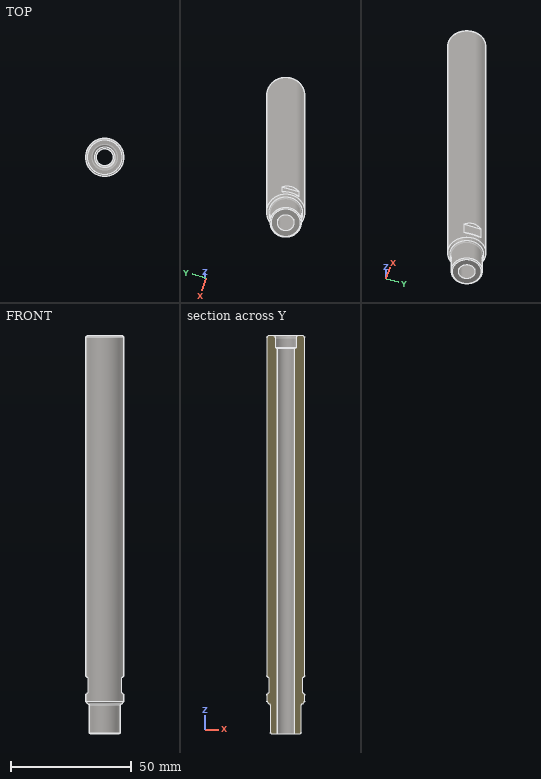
import cadquery as cq

total_length = 165.0
body_diameter = 15.88
top_chamfer_width = 0.8
top_chamfer_height = 0.65
shoulder_chamfer_width = 0.9
shoulder_chamfer_height = 1.15

spigot_diameter = 13.0
tip_chamfer = 0.5
shoulder_height = 12.4
corner_fillet = 0.5

through_diameter = 6.92
socket_diameter = 8.5
socket_depth = 5.0
socket_cone_height = 0.5
mouth_fillet = 1.05

across_flats = 14.0
flat_height = 6.0
flat_center_z = 20.2

body_radius = body_diameter / 2
spigot_radius = spigot_diameter / 2


def revolve_about_z(outline):
    """Full revolution of a closed outline drawn in radius and height."""
    return outline.close().revolve(360, (0, 0), (0, 1))


def make_rod():
    """Chamfered body and spigot with a fillet in the shoulder corner."""
    outline = (
        cq.Workplane("XZ")
        .lineTo(spigot_radius - tip_chamfer, 0)
        .lineTo(spigot_radius, tip_chamfer)
        .lineTo(spigot_radius, shoulder_height - corner_fillet)
        .radiusArc((spigot_radius + corner_fillet, shoulder_height), corner_fillet)
        .lineTo(body_radius - shoulder_chamfer_width, shoulder_height)
        .lineTo(body_radius, shoulder_height + shoulder_chamfer_height)
        .lineTo(body_radius, total_length - top_chamfer_height)
        .lineTo(body_radius - top_chamfer_width, total_length)
        .lineTo(0, total_length)
    )
    return revolve_about_z(outline)


def make_bores():
    """Through bore with a wider socket that has a conical floor and a rounded mouth at the top end."""
    socket_bottom = total_length - socket_depth
    outline = (
        cq.Workplane("XZ")
        .lineTo(through_diameter / 2, 0)
        .lineTo(through_diameter / 2, socket_bottom - socket_cone_height)
        .lineTo(socket_diameter / 2, socket_bottom)
        .lineTo(socket_diameter / 2, total_length - mouth_fillet)
        .radiusArc((socket_diameter / 2 + mouth_fillet, total_length), mouth_fillet)
        .lineTo(0, total_length)
    )
    return revolve_about_z(outline)


def make_flat_cutter(side):
    """Trapezoidal cutter for one flat; side is -1 or +1 along X."""
    flat_x = across_flats / 2
    run_out = body_radius - flat_x
    inner_half = flat_height / 2
    outer_half = inner_half + run_out
    outline = [
        (side * flat_x, flat_center_z - inner_half),
        (side * body_radius, flat_center_z - outer_half),
        (side * body_radius, flat_center_z + outer_half),
        (side * flat_x, flat_center_z + inner_half),
    ]
    return cq.Workplane("XZ").polyline(outline).close().extrude(body_radius, both=True)


result = make_rod().cut(make_bores())
for side in (-1, 1):
    result = result.cut(make_flat_cutter(side))